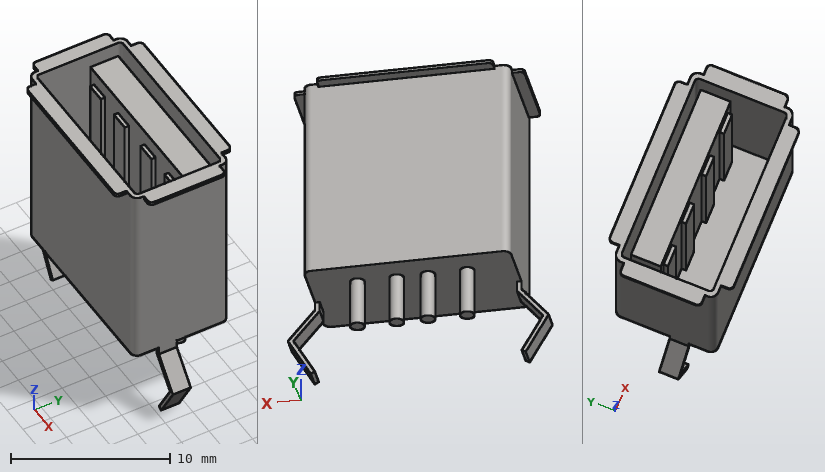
import cadquery as cq
import math

SHELL_X = 13.2
SHELL_Y = 6.9
SHELL_HEIGHT = 13.67
OVERALL_HEIGHT = 18.87
WALL = 0.35
OUTER_RADIUS = 0.5
INNER_RADIUS = 0.25

FLANGE_X = 14.73
FLANGE_Y = 8.4
FLANGE_THICKNESS = 0.22
LONG_TAB_WIDTH = 11.25
SHORT_TAB_WIDTH = 5.5
TAB_CORNER_RADIUS = 0.3

TONGUE_X = 11.55
TONGUE_BACK_Y = 2.6
TONGUE_FRONT_Y = 0.58
TONGUE_TOP_GAP = 0.62

CONTACT_WIDTH = 1.35
CONTACT_THICKNESS = 0.3
CONTACT_TOP_GAP = 1.75
CONTACT_XS = (-4.63, -1.66, 1.66, 4.63)

PIN_DIAMETER = 0.92
PIN_LENGTH = 3.25
PIN_Y = 1.55
PIN_XS = (-3.51, -1.0, 1.0, 3.51)

LEG_WIDTH = 1.3
LEG_Y = -1.0
LEG_THICKNESS = 0.3
LEG_SPAN = 16.67
LEG_BEND_Z = -0.55
LEG_KNEE_Z = -2.63
LEG_TIP_Z = SHELL_HEIGHT - OVERALL_HEIGHT
LEG_TIP_X = 6.87


def upright_block(size_x, size_y, bottom, top, corner_radius):
    """Block centred on the Z axis with rounded vertical edges."""
    block = cq.Workplane("XY", origin=(0, 0, bottom)).rect(size_x, size_y).extrude(top - bottom)
    return block.edges("|Z").fillet(corner_radius)


def make_shell():
    """Can with outward tabs at its mouth and a floor as thick as the wall."""
    tab_bottom = SHELL_HEIGHT - FLANGE_THICKNESS
    shell = upright_block(SHELL_X, SHELL_Y, 0, SHELL_HEIGHT, OUTER_RADIUS)
    for tab_x, tab_y in ((LONG_TAB_WIDTH, FLANGE_Y), (FLANGE_X, SHORT_TAB_WIDTH)):
        shell = shell.union(upright_block(tab_x, tab_y, tab_bottom, SHELL_HEIGHT, TAB_CORNER_RADIUS))
    cavity = upright_block(SHELL_X - 2 * WALL, SHELL_Y - 2 * WALL, WALL, SHELL_HEIGHT, INNER_RADIUS)
    return shell.cut(cavity)


def make_tongue():
    """Plain bar that carries the contacts."""
    depth = TONGUE_BACK_Y - TONGUE_FRONT_Y
    height = SHELL_HEIGHT - TONGUE_TOP_GAP
    bar = cq.Workplane("XY").box(TONGUE_X, depth, height, centered=(True, False, False))
    return bar.translate((0, TONGUE_FRONT_Y, 0))


def make_contact(x):
    """Flat strip on the tongue front."""
    height = SHELL_HEIGHT - CONTACT_TOP_GAP
    strip = cq.Workplane("XY").box(CONTACT_WIDTH, CONTACT_THICKNESS, height, centered=(True, False, False))
    return strip.translate((x, TONGUE_FRONT_Y - CONTACT_THICKNESS, 0))


def make_pins():
    """Row of round pins hanging from the floor."""
    places = [(x, PIN_Y) for x in PIN_XS]
    return cq.Workplane("XY").pushPoints(places).circle(PIN_DIAMETER / 2).extrude(-PIN_LENGTH)


def make_leg():
    """Strip on the +X side: straight down, outward to the knee, then back inward."""
    wall_x = SHELL_X / 2
    knee_x = LEG_SPAN / 2
    out_angle = math.atan2(LEG_BEND_Z - LEG_KNEE_Z, knee_x - wall_x)

    in_angle = math.atan2(LEG_KNEE_Z - LEG_TIP_Z, knee_x - LEG_TIP_X)
    inner_tip_x = LEG_TIP_X - LEG_THICKNESS * math.sin(in_angle)
    inner_tip_z = LEG_TIP_Z + LEG_THICKNESS * math.cos(in_angle)

    bend_drop = LEG_THICKNESS * math.tan((math.pi / 2 - out_angle) / 2)
    half_knee = (out_angle + in_angle) / 2
    knee_inset = LEG_THICKNESS / math.sin(half_knee)
    knee_tilt = (out_angle - in_angle) / 2

    profile = [
        (wall_x, 0),
        (wall_x, LEG_BEND_Z),
        (knee_x, LEG_KNEE_Z),
        (LEG_TIP_X, LEG_TIP_Z),
        (inner_tip_x, inner_tip_z),
        (knee_x - knee_inset * math.cos(knee_tilt), LEG_KNEE_Z + knee_inset * math.sin(knee_tilt)),
        (wall_x - LEG_THICKNESS, LEG_BEND_Z - bend_drop),
        (wall_x - LEG_THICKNESS, 0),
    ]
    front_plane = cq.Workplane("XZ", origin=(0, LEG_Y + LEG_WIDTH / 2, 0))
    return front_plane.polyline(profile).close().extrude(LEG_WIDTH)


leg = make_leg()
result = make_shell().union(make_tongue())
for contact_x in CONTACT_XS:
    result = result.union(make_contact(contact_x))
result = result.union(make_pins()).union(leg).union(leg.mirror("YZ"))